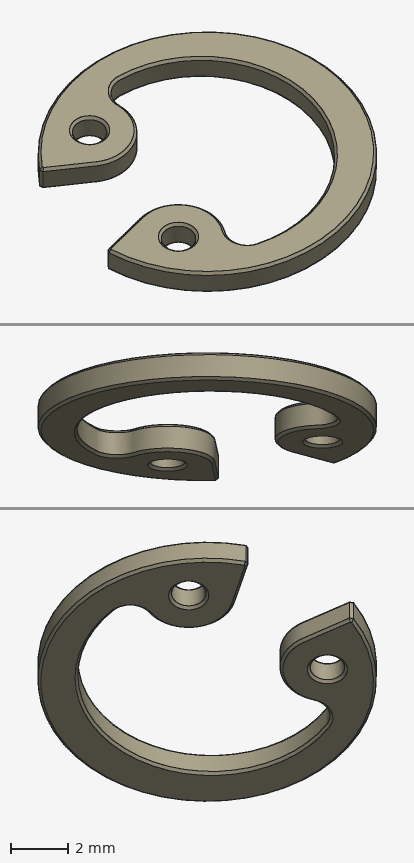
import cadquery as cq
import math

THICKNESS = 1.0
OUTER_RADIUS = 5.9
BORE_RADIUS = 4.66
BORE_CENTER_Y = -0.26
HOLE_DIAMETER = 1.2
HOLE_X = 3.01
HOLE_Y = -2.98
LUG_RADIUS = 1.65
FILLET_RADIUS = 0.8
EDGE_CHAMFER = 0.1


def polar_point(center, radius, angle):
    """Point at the given radius and angle (radians) around a centre."""
    return (center[0] + radius * math.cos(angle), center[1] + radius * math.sin(angle))


def direction(start, end):
    """Angle of the line from start to end, in radians."""
    return math.atan2(end[1] - start[1], end[0] - start[0])


def mirrored(point):
    """Matching point on the other side of the symmetry plane X = 0."""
    return (-point[0], point[1])


ring_center = (0.0, 0.0)
bore_center = (0.0, BORE_CENTER_Y)
lug_center = (HOLE_X, HOLE_Y)

lug_distance = math.dist(ring_center, lug_center)
lug_angle = direction(ring_center, lug_center)
end_angle = lug_angle - math.asin(LUG_RADIUS / lug_distance)
tangent_distance = math.sqrt(lug_distance**2 - LUG_RADIUS**2)
tip = polar_point(ring_center, OUTER_RADIUS, end_angle)
lug_start = polar_point(ring_center, tangent_distance, end_angle)

bore_to_lug = math.dist(bore_center, lug_center)
bore_to_hollow = BORE_RADIUS - FILLET_RADIUS
lug_to_hollow = LUG_RADIUS + FILLET_RADIUS
bore_corner_angle = math.acos(
    (bore_to_lug**2 + bore_to_hollow**2 - lug_to_hollow**2) / (2 * bore_to_lug * bore_to_hollow)
)
hollow_angle = direction(bore_center, lug_center) + bore_corner_angle
hollow_center = polar_point(bore_center, bore_to_hollow, hollow_angle)
bore_end = polar_point(bore_center, BORE_RADIUS, hollow_angle)
lug_to_hollow_angle = direction(lug_center, hollow_center)
lug_end = polar_point(lug_center, LUG_RADIUS, lug_to_hollow_angle)

lug_start_angle = direction(lug_center, lug_start) % (2 * math.pi)
lug_mid = polar_point(lug_center, LUG_RADIUS, (lug_start_angle + lug_to_hollow_angle) / 2)
hollow_start_angle = lug_to_hollow_angle - math.pi
hollow_mid = polar_point(hollow_center, FILLET_RADIUS, (hollow_start_angle + hollow_angle) / 2)

outer_top = (0.0, OUTER_RADIUS)
bore_top = (0.0, BORE_CENTER_Y + BORE_RADIUS)


def ring_body():
    """Open ring with a rounded lug at each end of the gap."""
    return (
        cq.Workplane("XY")
        .moveTo(*mirrored(tip))
        .threePointArc(outer_top, tip)
        .lineTo(*lug_start)
        .threePointArc(lug_mid, lug_end)
        .threePointArc(hollow_mid, bore_end)
        .threePointArc(bore_top, mirrored(bore_end))
        .threePointArc(mirrored(hollow_mid), mirrored(lug_end))
        .threePointArc(mirrored(lug_mid), mirrored(lug_start))
        .close()
        .extrude(THICKNESS)
    )


def chamfer_tips(body):
    """Break the sharp upright edge at each end of the outer circle."""
    return body.edges("|Z").edges("<Y").chamfer(EDGE_CHAMFER)


def plier_holes():
    """Through holes at the lug centres."""
    return (
        cq.Workplane("XY")
        .pushPoints([lug_center, mirrored(lug_center)])
        .circle(HOLE_DIAMETER / 2)
        .extrude(THICKNESS)
    )


def chamfer_faces(body):
    """Chamfer every edge of the top and bottom faces, hole rims included."""
    return body.faces("|Z").edges().chamfer(EDGE_CHAMFER)


result = chamfer_faces(chamfer_tips(ring_body()).cut(plier_holes()))